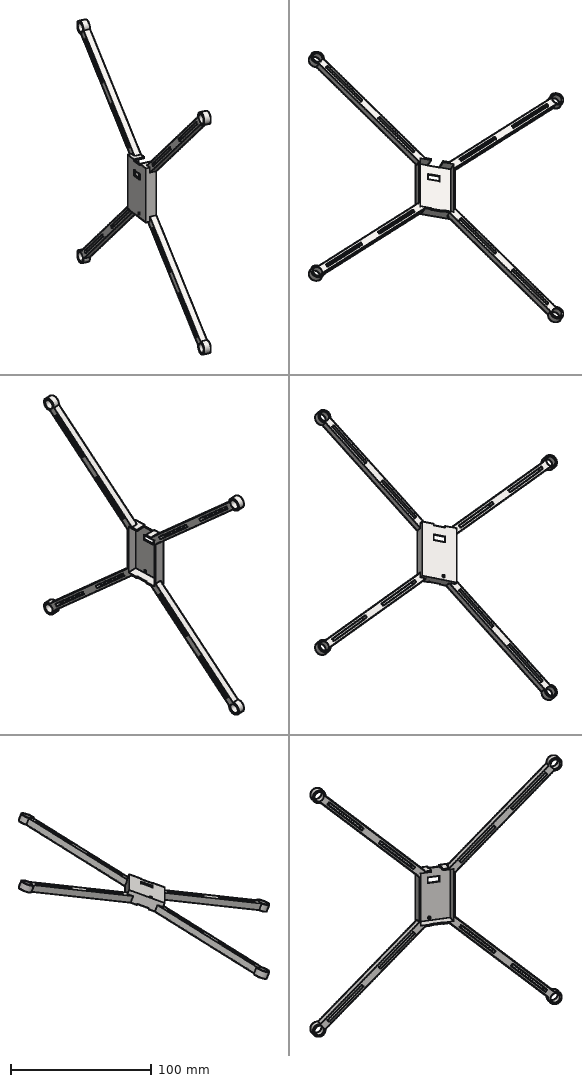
import cadquery as cq
import math

span = 189.5
depth = 8.5

tray_width = 27.3
tray_height = 42.5
wall = 1.1
notch_width = 9.0
notch_depth = 1.1
floor_setback = 0.8

window_width = 9.0
window_height = 4.4
window_z = 10.8
pin_hole_diameter = 1.9
pin_hole_x = 3.2
pin_hole_z = -18.2

arm_depth = 5.3
arm_width = 5.9
ring_outer_diameter = 9.9
ring_hole_diameter = 7.0
slot_width = 1.9
slot_length = 35.3
slot_starts = (9.3, 62.0)

ring_offset = (span - ring_outer_diameter) / 2
arm_run = ring_offset - tray_width / 2
arm_rise = ring_offset - tray_height / 2
arm_length = math.hypot(arm_run, arm_rise)
arm_angle = math.degrees(math.atan2(arm_rise, arm_run))
arm_front = depth - arm_depth
arm_overlap = arm_width


def block(width, thickness, height, x=0, y=0, z=0):
    """Box centered on x and z, with its front face at y."""
    return cq.Workplane("XY").box(width, thickness, height, centered=(True, False, True)).translate((x, y, z))


def cylinder(diameter, thickness, x=0, y=0, z=0):
    """Cylinder along Y, with its front face at y."""
    return cq.Workplane("XZ").circle(diameter / 2).extrude(-thickness).translate((x, y, z))


def make_arm():
    """Upper right arm: a slotted bar from the end ring to the tray corner."""
    bar_length = arm_length + arm_overlap
    arm = block(bar_length, arm_depth, arm_width, x=-bar_length / 2)
    arm = arm.union(cylinder(ring_outer_diameter, arm_depth))
    arm = arm.cut(cylinder(ring_hole_diameter, arm_depth))
    for start in slot_starts:
        arm = arm.cut(block(slot_length, arm_depth, slot_width, x=-start - slot_length / 2))
    arm = arm.rotate((0, 0, 0), (0, 1, 0), -arm_angle)
    return arm.translate((ring_offset, arm_front, ring_offset))


def make_cavity():
    """Space inside the tray walls, reaching through the back."""
    return block(tray_width - 2 * wall, depth - wall, tray_height - 2 * wall, y=wall)


def make_frame():
    """Tray blank with an arm at each corner, hollowed from the back."""
    right_arms = make_arm()
    right_arms = right_arms.union(right_arms.mirror("XY"))
    frame = block(tray_width, depth, tray_height)
    frame = frame.union(right_arms).union(right_arms.mirror("YZ"))
    return frame.cut(make_cavity())


def cut_openings(frame):
    """Cut the top notch, the floor setback, the window and the pin hole."""
    top_notch = block(notch_width, depth, notch_depth, z=(tray_height - notch_depth) / 2)
    floor_notch = block(
        notch_width, floor_setback, wall, y=depth - floor_setback, z=-(tray_height - wall) / 2
    )
    window = block(window_width, wall, window_height, z=window_z)
    pin_hole = cylinder(pin_hole_diameter, wall, x=pin_hole_x, z=pin_hole_z)
    return frame.cut(top_notch).cut(floor_notch).cut(window).cut(pin_hole)


result = cut_openings(make_frame())